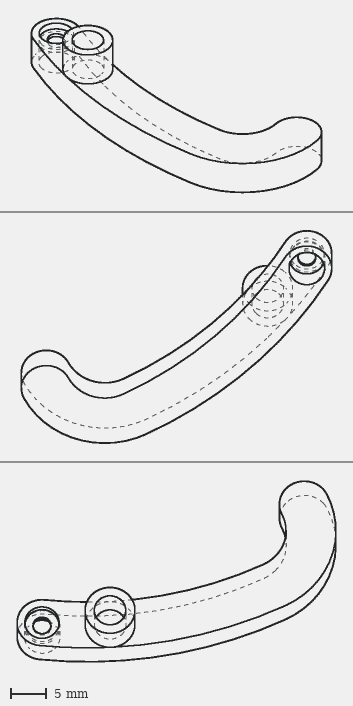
import cadquery as cq
import math

length = 47.95
total_height = 10.05
arm_thickness = 5.05

arm_width = 7.0
half_width = arm_width / 2
hook_radius = 9.2
hook_center_x = length - arm_width - hook_radius

arc_radius = (hook_center_x**2 + hook_radius**2) / (2 * hook_radius)
arc_center_y = arc_radius - hook_radius
arc_angle = math.asin(hook_center_x / arc_radius)

pivot_hole_diameter = 2.5
counterbore_diameter = 4.8
counterbore_depth = 1.0
web_thickness = 0.5
underside_recess_diameter = 5.0
underside_recess_depth = arm_thickness - counterbore_depth - web_thickness
boss_x = 8.45
boss_diameter = arm_width
boss_bore_diameter = 4.4
boss_bore_depth = total_height - arm_thickness


def arc_point(radius, angle):
    """Point on a long arc; the angle is measured back from the hook junction."""
    return (
        hook_center_x - radius * math.sin(angle),
        arc_center_y - radius * math.cos(angle),
    )


def hook_point(radius, angle):
    """Point on a hook arc; the angle is measured from the +X direction."""
    return (
        hook_center_x + radius * math.cos(angle),
        radius * math.sin(angle),
    )


def make_arm():
    arc_outer = arc_radius + half_width
    arc_inner = arc_radius - half_width
    hook_outer = hook_radius + half_width
    hook_inner = hook_radius - half_width
    hook_middle = -math.pi / 4
    hook_bottom = -math.pi / 2
    pivot_end_middle = (-half_width * math.cos(arc_angle), half_width * math.sin(arc_angle))
    return (
        cq.Workplane("XY")
        .moveTo(*arc_point(arc_outer, arc_angle))
        .threePointArc(arc_point(arc_outer, arc_angle / 2), hook_point(hook_outer, hook_bottom))
        .threePointArc(hook_point(hook_outer, hook_middle), hook_point(hook_outer, 0))
        .threePointArc((hook_center_x + hook_radius, half_width), hook_point(hook_inner, 0))
        .threePointArc(hook_point(hook_inner, hook_middle), hook_point(hook_inner, hook_bottom))
        .threePointArc(arc_point(arc_inner, arc_angle / 2), arc_point(arc_inner, arc_angle))
        .threePointArc(pivot_end_middle, arc_point(arc_outer, arc_angle))
        .close()
        .extrude(arm_thickness)
    )


def cylinder(center, diameter, bottom, top):
    return (
        cq.Workplane("XY", origin=(center[0], center[1], bottom))
        .circle(diameter / 2)
        .extrude(top - bottom)
    )


boss_angle = math.asin((hook_center_x - boss_x) / arc_radius)
boss_center = arc_point(arc_radius, boss_angle)
pivot = (0, 0)

result = make_arm()
result = result.union(cylinder(boss_center, boss_diameter, 0, total_height))
result = result.cut(
    cylinder(boss_center, boss_bore_diameter, total_height - boss_bore_depth, total_height)
)
result = result.cut(cylinder(pivot, pivot_hole_diameter, 0, arm_thickness))
result = result.cut(
    cylinder(pivot, counterbore_diameter, arm_thickness - counterbore_depth, arm_thickness)
)
result = result.cut(cylinder(pivot, underside_recess_diameter, 0, underside_recess_depth))